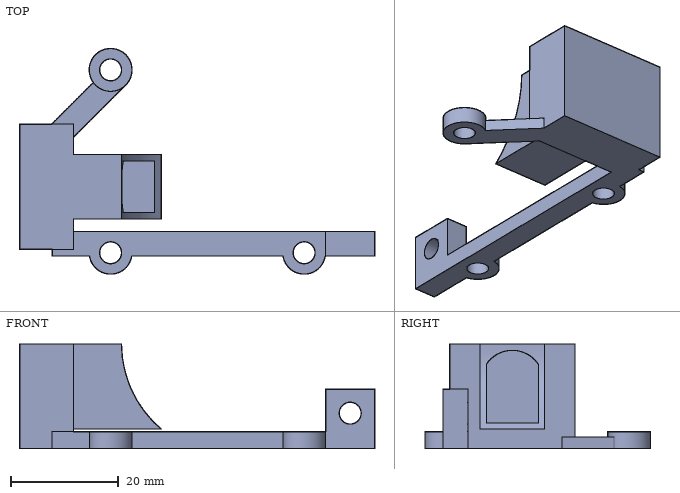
import cadquery as cq
import math

ring_diameter = 8.0
ring_radius = ring_diameter / 2
hole_diameter = 4.0
ring_height = 3.2
rail_width = 4.6
arm_height = 2.2
arm_angle = 45.0
near_ring_x = 16.9
far_ring_x = 52.85
front_ring_y = ring_radius
rear_ring_y = 42.0 - ring_radius

total_length = 66.0
rail_start_x = 6.0
rail_back_y = front_ring_y + ring_radius
rail_front_y = rail_back_y - rail_width

lug_start_x = far_ring_x + ring_radius
lug_length = total_length - lug_start_x
lug_height = 11.1
lug_hole_z = 6.6

block_length = 10.0
block_front_y = 4.6
block_width = 23.3
block_height = 19.5
block_center_y = block_front_y + block_width / 2
nose_width = 12.0
nose_bottom = 3.6
nose_top_x = 18.95
nose_tip_x = 26.35

wall = 1.2
pocket_width = nose_width - 2 * wall
pocket_floor = nose_bottom + wall
pocket_shoulder = 15.7
pocket_crown = block_height - wall


def box(x, y, length, width, height):
    """Box standing on the base plane with its low corner at (x, y)."""
    return cq.Workplane("XY").box(length, width, height, centered=False).translate((x, y, 0))


def cylinder(x, y, diameter):
    return cq.Workplane("XY").center(x, y).circle(diameter / 2).extrude(ring_height)


def make_nose():
    """Nose with a concave end that is vertical at the top."""
    reach = nose_tip_x - nose_top_x
    drop = block_height - nose_bottom
    radius = (reach**2 + drop**2) / (2 * reach)
    half_sweep = math.asin(drop / radius) / 2
    arc_middle = (
        nose_top_x + radius * (1 - math.cos(half_sweep)),
        block_height - radius * math.sin(half_sweep),
    )
    return (
        cq.Workplane("XZ", origin=(0, block_center_y, 0))
        .moveTo(block_length, nose_bottom)
        .lineTo(block_length, block_height)
        .lineTo(nose_top_x, block_height)
        .threePointArc(arc_middle, (nose_tip_x, nose_bottom))
        .close()
        .extrude(nose_width / 2, both=True)
    )


def make_pocket():
    """Arched pocket running from the block to beyond the nose tip."""
    half_width = pocket_width / 2
    return (
        cq.Workplane("YZ", origin=(block_length, block_center_y, 0))
        .moveTo(-half_width, pocket_floor)
        .lineTo(half_width, pocket_floor)
        .lineTo(half_width, pocket_shoulder)
        .threePointArc((0, pocket_crown), (-half_width, pocket_shoulder))
        .close()
        .extrude(nose_tip_x - block_length)
    )


def make_arm():
    """Slanted arm from the block to the rear ring, with one edge tangent to the ring."""
    arm_length = (rear_ring_y - block_center_y) / math.sin(math.radians(arm_angle))
    return (
        box(-arm_length, -ring_radius, arm_length, rail_width, arm_height)
        .rotate((0, 0, 0), (0, 0, 1), arm_angle)
        .translate((near_ring_x, rear_ring_y, 0))
        .intersect(box(0, block_front_y, total_length, rear_ring_y, arm_height))
    )


ring_centers = [
    (near_ring_x, front_ring_y),
    (far_ring_x, front_ring_y),
    (near_ring_x, rear_ring_y),
]

block = box(0, block_front_y, block_length, block_width, block_height)
rail = box(rail_start_x, rail_front_y, total_length - rail_start_x, rail_width, ring_height)
lug = box(lug_start_x, rail_front_y, lug_length, rail_width, lug_height)
nose = make_nose().cut(make_pocket())

result = block.union(nose).union(rail).union(lug).union(make_arm())

for x, y in ring_centers:
    result = result.union(cylinder(x, y, ring_diameter))
for x, y in ring_centers:
    result = result.cut(cylinder(x, y, hole_diameter))

lug_hole = (
    cq.Workplane("XZ", origin=(lug_start_x + lug_length / 2, rail_back_y, lug_hole_z))
    .circle(hole_diameter / 2)
    .extrude(rail_width)
)
result = result.cut(lug_hole)